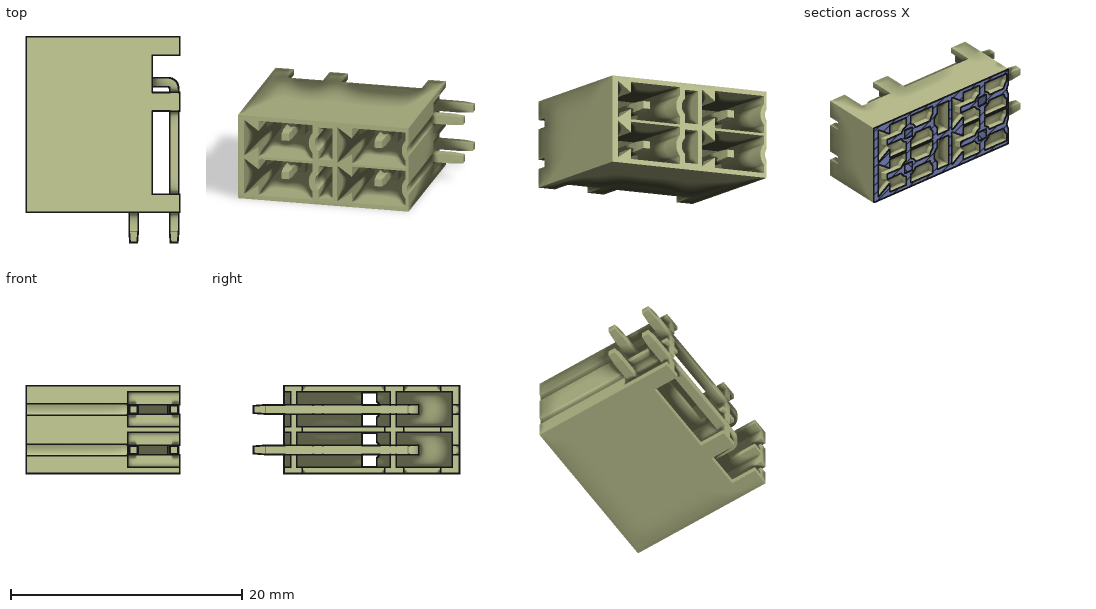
import cadquery as cq


HOUSING_DEPTH = 13.3
HOUSING_WIDTH = 15.2
HOUSING_HEIGHT = 7.6

ROW_PITCH = 3.5
COLUMN_PITCH = 8.3
ROW_HEIGHTS = [(HOUSING_HEIGHT + side * ROW_PITCH) / 2 for side in (-1, 1)]
COLUMN_SHIFTS = [0, COLUMN_PITCH]
FIRST_PIN_Y = 2.96

CAVITY_HEIGHT = 3.28
CAVITY_START_Y = 0.25
CAVITY_END_Y = 6.37
CAVITY_DEPTH = 8.0
KEY_WIDTH = 1.31
KEY_HEIGHT = 0.92

BULGE_CREST_Y = 0.6
BULGE_RADIUS = 1.4
GROOVE_RADIUS = 0.9
GROOVE_BOTTOMS_Y = [0.15, 8.36]

BOSS_RADIUS = 0.87
CROSS_HEIGHT = 1.1
ARM_HEIGHT = 1.0
UPRIGHT_WIDTH = 0.6
ARM_WIDTH = 0.6
ARM_LENGTH = 2.2
ARM_FOOT_LENGTH = 2.71

WINDOW_START_Y = 6.78
WINDOW_END_Y = 8.02
WINDOW_HEIGHT = 2.92

CHANNEL_START_X = 8.77
CHANNEL_HEIGHT = 3.02
NOTCH_START_X = 10.93
NOTCHES_Y = [(1.58, 8.75), (10.38, 13.57)]

SLOT_START_X = 12.25
WEBS = [
    (0.6, 1.13, CHANNEL_START_X),
    (9.2, 9.73, SLOT_START_X),
    (14.55, HOUSING_WIDTH, SLOT_START_X),
]

PIN_SIZE = 0.8
PIN_TIP_SIZE = 0.64
PIN_TAPER_LENGTH = 1.0
PIN_START_X = 1.05
PIN_END_Y = -2.62
PIN_TAIL_X = [9.3, 12.8]
INNER_BEND_RADIUS = 0.14
OUTER_BEND_RADIUS = INNER_BEND_RADIUS + PIN_SIZE


def block(x_range, y_range, z_centre, height):
    """Box spanning two ranges in X and Y, centred on a height in Z."""
    (x0, x1), (y0, y1) = x_range, y_range
    return (
        cq.Workplane("XY", origin=(0, 0, z_centre - height / 2))
        .moveTo(x0, y0)
        .lineTo(x1, y0)
        .lineTo(x1, y1)
        .lineTo(x0, y1)
        .close()
        .extrude(height)
    )


def cylinder_along_x(y, z, radius, x0, x1):
    return cq.Workplane("YZ", origin=(x0, y, z)).circle(radius).extrude(x1 - x0)


def cavity_cross(shift, z):
    """Boss, upright rib and sloped-end arm standing on one cavity floor."""
    pin_y = FIRST_PIN_Y + shift
    top_x = CAVITY_DEPTH - CROSS_HEIGHT
    arm_top_x = CAVITY_DEPTH - ARM_HEIGHT
    boss = cylinder_along_x(pin_y, z, BOSS_RADIUS, top_x, CAVITY_DEPTH)
    upright = block(
        (top_x, CAVITY_DEPTH),
        (pin_y - UPRIGHT_WIDTH / 2, pin_y + UPRIGHT_WIDTH / 2),
        z,
        CAVITY_HEIGHT,
    )
    arm = (
        cq.Workplane("XY", origin=(0, 0, z - ARM_WIDTH / 2))
        .moveTo(CAVITY_DEPTH, CAVITY_START_Y + shift)
        .lineTo(arm_top_x, CAVITY_START_Y + shift)
        .lineTo(arm_top_x, pin_y + ARM_LENGTH)
        .lineTo(CAVITY_DEPTH, pin_y + ARM_FOOT_LENGTH)
        .close()
        .extrude(ARM_WIDTH)
    )
    return boss.union(upright).union(arm)


def cavity(shift, z):
    """Empty space of one mating cavity, with its two corner keys left solid."""
    y0 = CAVITY_START_Y + shift
    y1 = CAVITY_END_Y + shift
    key_y = y1 - KEY_WIDTH
    bottom = z - CAVITY_HEIGHT / 2
    top = z + CAVITY_HEIGHT / 2
    outline = (
        cq.Workplane("YZ")
        .moveTo(y0, bottom)
        .lineTo(key_y, bottom)
        .lineTo(key_y, bottom + KEY_HEIGHT)
        .lineTo(y1, bottom)
        .lineTo(y1, top)
        .lineTo(key_y, top - KEY_HEIGHT)
        .lineTo(key_y, top)
        .lineTo(y0, top)
        .close()
        .extrude(CAVITY_DEPTH)
    )
    bulge = cylinder_along_x(BULGE_CREST_Y - BULGE_RADIUS + shift, z, BULGE_RADIUS, 0, CAVITY_DEPTH)
    return outline.cut(bulge).cut(cavity_cross(shift, z))


def groove(bottom_y, z):
    """Arc-shaped groove along X, deepest at bottom_y; only the high-Y half of the circle is kept."""
    centre_y = bottom_y - GROOVE_RADIUS
    circle = cylinder_along_x(centre_y, z, GROOVE_RADIUS, 0, CHANNEL_START_X)
    return circle.intersect(block((0, CHANNEL_START_X), (centre_y, bottom_y), z, 2 * GROOVE_RADIUS))


def channel(z):
    """Empty space of one rear channel, with its slotted webs left solid."""
    space = block((CHANNEL_START_X, HOUSING_DEPTH), (0, HOUSING_WIDTH), z, CHANNEL_HEIGHT)
    for y0, y1, slot_x in WEBS:
        web = block((CHANNEL_START_X, HOUSING_DEPTH), (y0, y1), z, CHANNEL_HEIGHT)
        slot = block((slot_x, HOUSING_DEPTH), (y0, y1), z, PIN_SIZE)
        space = space.cut(web.cut(slot))
    return space


def pin(column, z):
    """Square pin, bent from the mating direction to the tail direction."""
    y = FIRST_PIN_Y + COLUMN_SHIFTS[column]
    x = PIN_TAIL_X[column]
    half = PIN_SIZE / 2
    shaft_x = PIN_START_X + PIN_TAPER_LENGTH
    shaft_y = PIN_END_Y + PIN_TAPER_LENGTH
    inner_x = x - half - INNER_BEND_RADIUS
    inner_y = y - half - INNER_BEND_RADIUS
    shaft = (
        cq.Workplane("XY", origin=(0, 0, z - half))
        .moveTo(shaft_x, y + half)
        .lineTo(inner_x, y + half)
        .radiusArc((x + half, inner_y), OUTER_BEND_RADIUS)
        .lineTo(x + half, shaft_y)
        .lineTo(x - half, shaft_y)
        .lineTo(x - half, inner_y)
        .radiusArc((inner_x, y - half), -INNER_BEND_RADIUS)
        .lineTo(shaft_x, y - half)
        .close()
        .extrude(PIN_SIZE)
    )
    contact_plane = cq.Plane(origin=(shaft_x, y, z), xDir=(0, 1, 0), normal=(-1, 0, 0))
    tail_plane = cq.Plane(origin=(x, shaft_y, z), xDir=(1, 0, 0), normal=(0, -1, 0))
    for plane in (contact_plane, tail_plane):
        tip = (
            cq.Workplane(plane)
            .rect(PIN_SIZE, PIN_SIZE)
            .workplane(offset=PIN_TAPER_LENGTH)
            .rect(PIN_TIP_SIZE, PIN_TIP_SIZE)
            .loft(ruled=True)
        )
        shaft = shaft.union(tip)
    return shaft


pins = [pin(column, z) for column in range(len(COLUMN_SHIFTS)) for z in ROW_HEIGHTS]

housing = block((0, HOUSING_DEPTH), (0, HOUSING_WIDTH), HOUSING_HEIGHT / 2, HOUSING_HEIGHT)
for row_z in ROW_HEIGHTS:
    housing = housing.cut(channel(row_z))
    window = block((0, CHANNEL_START_X), (WINDOW_START_Y, WINDOW_END_Y), row_z, WINDOW_HEIGHT)
    housing = housing.cut(window)
    for column_shift in COLUMN_SHIFTS:
        housing = housing.cut(cavity(column_shift, row_z))
    for bottom_y in GROOVE_BOTTOMS_Y:
        housing = housing.cut(groove(bottom_y, row_z))
for notch_range in NOTCHES_Y:
    notch = block((NOTCH_START_X, HOUSING_DEPTH), notch_range, HOUSING_HEIGHT / 2, HOUSING_HEIGHT)
    housing = housing.cut(notch)
for pin_body in pins:
    housing = housing.cut(pin_body)

result = cq.Compound.makeCompound([housing.val(), *[body.val() for body in pins]])